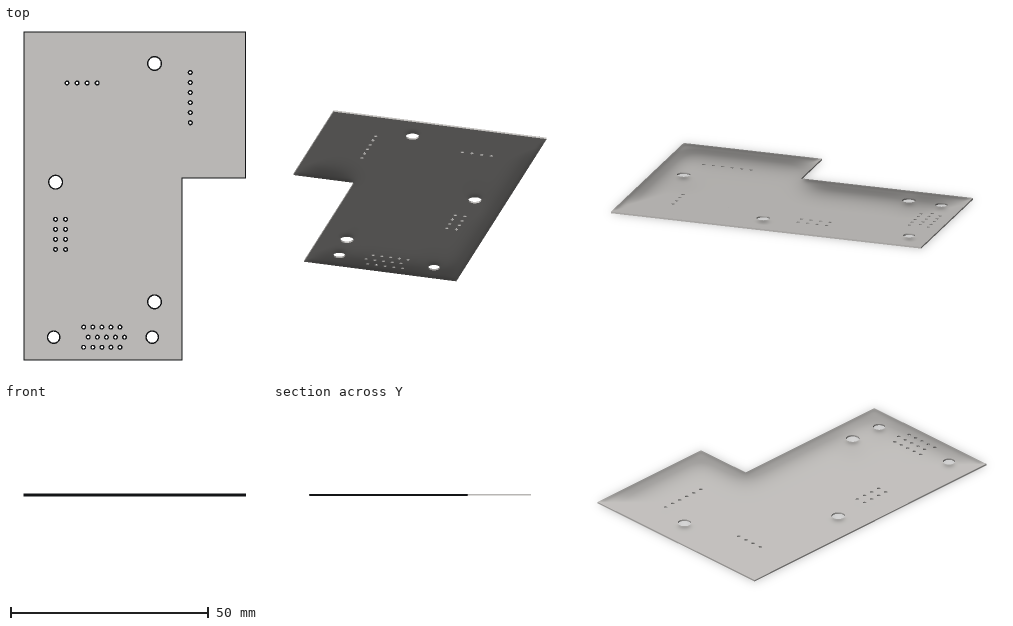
import cadquery as cq

THICKNESS = 0.42
WIDTH = 56.0
LENGTH = 83.0
NARROW_WIDTH = 40.0
STEP_Y = 46.0

MOUNT_DIAMETER = 3.4
MOUNT_CENTERS = [(8.0, 45.0), (33.0, 75.0), (33.0, 14.75)]

HEADER_PITCH = 2.54
HEADER_DIAMETER = 0.9
TOP_HEADER_START = (10.88, 70.07)
TOP_HEADER_PINS = 4
SIDE_HEADER_START = (42.03, 60.02)
SIDE_HEADER_PINS = 6
DOUBLE_HEADER_START = (7.98, 28.0)
DOUBLE_HEADER_COLUMNS = 2
DOUBLE_HEADER_ROWS = 4

CONNECTOR_PIN_DIAMETER = 0.89
CONNECTOR_PITCH = 2.29
CONNECTOR_ROW_SPACING = 2.54
CONNECTOR_PINS_PER_ROW = 5
CONNECTOR_START_X = 15.1
CONNECTOR_Y = 5.82
CONNECTOR_SCREW_DIAMETER = 3.05
CONNECTOR_SCREW_SPACING = 24.9
CONNECTOR_SCREW_X = 7.52


def board():
    """L-shaped plate, wide at the +Y end."""
    outline = [
        (0, 0),
        (NARROW_WIDTH, 0),
        (NARROW_WIDTH, STEP_Y),
        (WIDTH, STEP_Y),
        (WIDTH, LENGTH),
        (0, LENGTH),
    ]
    return cq.Workplane("XY").polyline(outline).close().extrude(THICKNESS)


def pin_grid(start, columns, rows):
    """Header pin centres, counted in +X and +Y from the start pin."""
    start_x, start_y = start
    return [
        (start_x + column * HEADER_PITCH, start_y + row * HEADER_PITCH)
        for column in range(columns)
        for row in range(rows)
    ]


def connector_pins():
    """Pin centres of the three staggered connector rows."""
    centers = []
    for row in (-1, 0, 1):
        shift = CONNECTOR_PITCH / 2 if row == 0 else 0
        y = CONNECTOR_Y + row * CONNECTOR_ROW_SPACING
        for pin in range(CONNECTOR_PINS_PER_ROW):
            centers.append((CONNECTOR_START_X + shift + pin * CONNECTOR_PITCH, y))
    return centers


def drill(body, centers, diameter):
    """Cut through holes at the given centres."""
    cutters = cq.Workplane("XY").pushPoints(centers).circle(diameter / 2).extrude(THICKNESS)
    return body.cut(cutters)


header_pins = (
    pin_grid(TOP_HEADER_START, TOP_HEADER_PINS, 1)
    + pin_grid(SIDE_HEADER_START, 1, SIDE_HEADER_PINS)
    + pin_grid(DOUBLE_HEADER_START, DOUBLE_HEADER_COLUMNS, DOUBLE_HEADER_ROWS)
)
connector_screws = [
    (CONNECTOR_SCREW_X, CONNECTOR_Y),
    (CONNECTOR_SCREW_X + CONNECTOR_SCREW_SPACING, CONNECTOR_Y),
]

result = board()
result = drill(result, MOUNT_CENTERS, MOUNT_DIAMETER)
result = drill(result, header_pins, HEADER_DIAMETER)
result = drill(result, connector_pins(), CONNECTOR_PIN_DIAMETER)
result = drill(result, connector_screws, CONNECTOR_SCREW_DIAMETER)